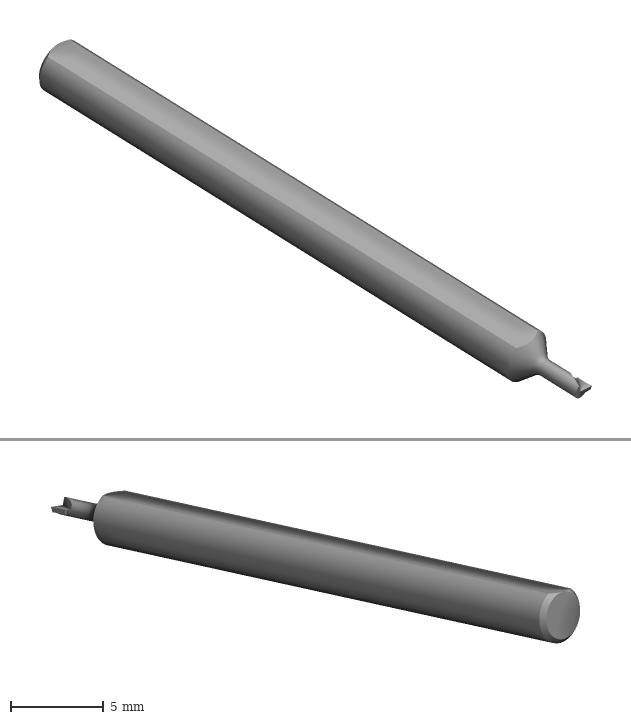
import cadquery as cq
import math

length = 38.1
shank_radius = 3.15 / 2
height = 2.9
flat_height = height - shank_radius

back_chamfer = 0.25
shoulder_start = 34.0
neck_radius = 0.5
neck_end = 37.9
shoulder_angle = math.radians(45)
shoulder_end = shoulder_start + (shank_radius - neck_radius) / math.tan(shoulder_angle)
neck_blend = 0.6
blend_run = neck_blend * math.tan(shoulder_angle / 2)

tooth_start = 37.07
tooth_root = -0.2
tooth_reach = 0.65
tooth_side = 0.6
tooth_depth = 0.3
corner_length = 0.23
relief_angle = 9

pocket_start = 36.73
pocket_front_y = -0.08
pocket_lean = math.radians(15)
pocket_end = length + 0.4


def make_shank_and_neck():
    """Turned body: chamfered shank, conical shoulder and blended neck."""
    blend_start_x = shoulder_end - blend_run * math.cos(shoulder_angle)
    blend_start_radius = neck_radius + blend_run * math.sin(shoulder_angle)
    blend_end_x = shoulder_end + blend_run
    middle_angle = shoulder_angle / 2
    blend_middle = (
        blend_end_x - neck_blend * math.sin(middle_angle),
        neck_radius + neck_blend * (1 - math.cos(middle_angle)),
    )
    profile = (
        cq.Workplane("XY")
        .lineTo(0, shank_radius - back_chamfer)
        .lineTo(back_chamfer, shank_radius)
        .lineTo(shoulder_start, shank_radius)
        .lineTo(blend_start_x, blend_start_radius)
        .threePointArc(blend_middle, (blend_end_x, neck_radius))
        .lineTo(neck_end, neck_radius)
        .lineTo(neck_end, 0)
        .close()
    )
    return profile.revolve(360, (0, 0, 0), (1, 0, 0))


def cut_shank_flat(body):
    """Flat along the top of the shank."""
    cutter = (
        cq.Workplane("XY")
        .workplane(offset=flat_height)
        .rect(2 * length, 2 * shank_radius)
        .extrude(shank_radius)
    )
    return body.cut(cutter)


def make_tooth():
    """Tooth below the axis plane, tapered inward so the cutting edges have relief."""
    return (
        cq.Workplane("XY")
        .moveTo(tooth_start, tooth_root)
        .lineTo(tooth_start, tooth_side)
        .lineTo(length - corner_length, tooth_side)
        .lineTo(length, tooth_reach)
        .lineTo(neck_end, tooth_root)
        .close()
        .extrude(-tooth_depth, taper=relief_angle)
    )


def pocket_outline(z, shift):
    """Pocket outline at height z, with its oblique wall moved by shift toward -Y."""
    wall_front_y = pocket_front_y - shift
    outer_y = 2 * neck_radius
    points = [
        (pocket_start, outer_y, z),
        (pocket_start, neck_radius - shift, z),
        (neck_end, wall_front_y, z),
        (pocket_end, wall_front_y, z),
        (pocket_end, outer_y, z),
    ]
    return cq.Wire.makePolygon([cq.Vector(*point) for point in points], close=True)


def make_chip_pocket():
    """Space above the axis plane, with an oblique wall that leans outward."""
    top = 2 * neck_radius
    lean_shift = top * math.tan(pocket_lean)
    floor_outline = pocket_outline(0, 0)
    top_outline = pocket_outline(top, lean_shift)
    return cq.Workplane(cq.Solid.makeLoft([floor_outline, top_outline], True))


body = cut_shank_flat(make_shank_and_neck())
result = body.union(make_tooth()).cut(make_chip_pocket())